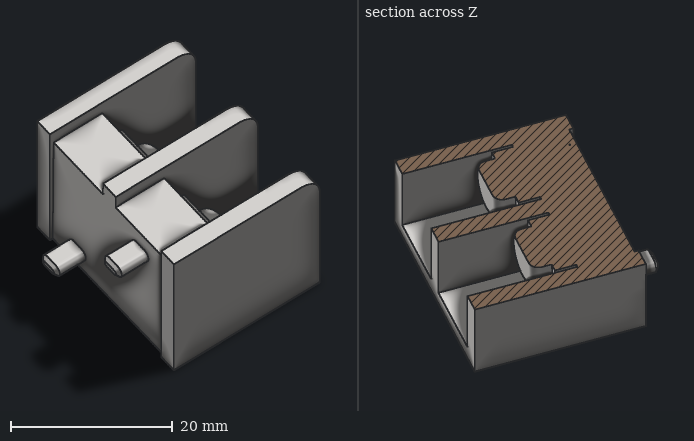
import cadquery as cq


TOTAL_WIDTH = 27.95
WAY_COUNT = 2
WALL_THICKNESS = 2.6
WALL_DEPTH = 22.63
WALL_HEIGHT = 21.6
WALL_CORNER_RADIUS = 3.02
WAY_PITCH = (TOTAL_WIDTH - WALL_THICKNESS) / WAY_COUNT

BODY_HEIGHT = 19.47
SHELF_DEPTH = 14.5
LEDGE_Y = WALL_DEPTH - SHELF_DEPTH
FRONT_RECESS_BOTTOM = 0.45
FRONT_RECESS_TOP = 0.6
FLOOR_THICKNESS = 1.95

PLATE_SIDE = 9.45
PLATE_THICKNESS = 2.82
SCREW_DIAMETER = 7.65
SCREW_HEAD_HEIGHT = 2.57
SCREW_EDGE_RADIUS = 1.25
SCREW_Z = 9.5

PIN_WIDTH = 3.45
PIN_HEIGHT = 1.87
PIN_PROTRUSION = 4.05
PIN_ROOT_Y = LEDGE_Y / 2
PIN_TIP_LENGTH = 0.47
PIN_TIP_INSET = 0.55
PIN_HEIGHTS = (3.0, 16.0)


def way_center(way):
    """X position of the middle of a way."""
    return WALL_THICKNESS / 2 + WAY_PITCH * (way + 0.5)


def front_section(front_y):
    """Sketch plane facing -Y, with X to the right and Z up."""
    return cq.Workplane("XZ", origin=(0, front_y, 0))


def rear_section(rear_y):
    """Sketch plane facing +Y, with X to the right and -Z up."""
    return cq.Workplane(cq.Plane(origin=(0, rear_y, 0), xDir=(1, 0, 0), normal=(0, 1, 0)))


def front_profile(top_z, top_recess):
    """Start of a side outline: down the leaning front face to the bottom."""
    return cq.Workplane("YZ").moveTo(top_recess, top_z).lineTo(FRONT_RECESS_BOTTOM, 0)


def make_body():
    """L-shaped block: a tall front part and a floor running to the back."""
    profile = (
        front_profile(BODY_HEIGHT, FRONT_RECESS_TOP)
        .lineTo(WALL_DEPTH, 0)
        .lineTo(WALL_DEPTH, FLOOR_THICKNESS)
        .lineTo(LEDGE_Y, FLOOR_THICKNESS)
        .lineTo(LEDGE_Y, BODY_HEIGHT)
        .close()
    )
    inner_width = TOTAL_WIDTH - 2 * WALL_THICKNESS
    return profile.extrude(inner_width).translate((WALL_THICKNESS, 0, 0))


def make_wall(index):
    """Barrier wall, rounded at the top rear; inner walls follow the body front."""
    if index in (0, WAY_COUNT):
        profile = cq.Workplane("YZ").moveTo(0, WALL_HEIGHT).lineTo(0, 0)
    else:
        lean = (FRONT_RECESS_TOP - FRONT_RECESS_BOTTOM) / BODY_HEIGHT
        profile = front_profile(WALL_HEIGHT, FRONT_RECESS_BOTTOM + lean * WALL_HEIGHT)
    wall = (
        profile.lineTo(WALL_DEPTH, 0)
        .lineTo(WALL_DEPTH, WALL_HEIGHT - WALL_CORNER_RADIUS)
        .radiusArc((WALL_DEPTH - WALL_CORNER_RADIUS, WALL_HEIGHT), -WALL_CORNER_RADIUS)
        .close()
        .extrude(WALL_THICKNESS)
    )
    return wall.translate((index * WAY_PITCH, 0, 0))


def make_clamp(way):
    """Square clamp plate on the rear of the block, with its rounded screw head."""
    center = (way_center(way), -SCREW_Z)
    plate = rear_section(LEDGE_Y).center(*center).rect(PLATE_SIDE, PLATE_SIDE).extrude(PLATE_THICKNESS)
    head = (
        rear_section(LEDGE_Y + PLATE_THICKNESS)
        .center(*center)
        .circle(SCREW_DIAMETER / 2)
        .extrude(SCREW_HEAD_HEIGHT)
        .faces(">Y")
        .edges()
        .fillet(SCREW_EDGE_RADIUS)
    )
    return plate.union(head)


def make_pin(way):
    """Slot-shaped pin rooted in the body, with a bevelled tip."""
    length = PIN_ROOT_Y + PIN_PROTRUSION
    return (
        front_section(PIN_ROOT_Y)
        .center(way_center(way), PIN_HEIGHTS[way])
        .slot2D(PIN_WIDTH, PIN_HEIGHT)
        .extrude(length)
        .faces("<Y")
        .chamfer(PIN_TIP_LENGTH, PIN_TIP_INSET)
    )


result = make_body()
for wall_index in range(WAY_COUNT + 1):
    result = result.union(make_wall(wall_index))
for way_index in range(WAY_COUNT):
    result = result.union(make_clamp(way_index)).union(make_pin(way_index))